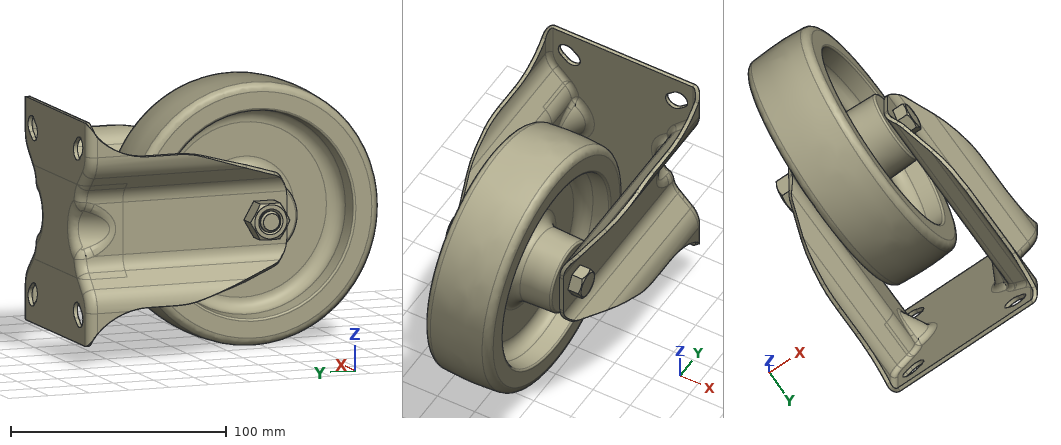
import cadquery as cq
import math


TOLERANCE = 0.01

SHEET = 2.0
PLATE_Y = 92.5
PLATE_HALF_Z = 52.5
FORK_HALF_X = 42.0
WAIST_HALF_X = 28.0
WAIST_HALF_Z = 12.3
WAIST_RADIUS = 10.0
FLANGE_RADIUS = 15.0
PLATE_BEND = 4.5
FLANK_ANGLE = math.radians(45)

LEG_END_Y = -11.5
LEG_END_HALF_Z = 10.4
LEG_CORNER_RADIUS = 11.0
LEG_TAPER = math.radians(18)
NECK_HALF_Z = 35.5
NECK_TAPER_RADIUS = 43.0
NECK_FLARE_RADIUS = 35.0
NECK_FLARE_Y = 62.8
TRIM_MARGIN = 1.0

DENT_RADIUS = 12.0
DENT_FOOT_Y = 75.0
DENT_SLOPE = math.radians(27.3)
DENT_BLEND = 6.0
DENT_REACH = 40.0
DENT_ZONE_Y = 70.0
DENT_ZONE_HALF_Z = 22.0
SLOT_X = 28.8
SLOT_Z = 39.1
SLOT_WIDTH = 9.0
SLOT_TRAVEL = 3.6
SLOT_TILT = 40.0

WHEEL_RADIUS = 62.5
WHEEL_HALF_X = 17.5
TREAD_EDGE_RADIUS = 61.5
TREAD_ROUND = 4.0
RIM_RADIUS = 47.5
RIM_DRAFT = 1.6
RIM_ROUND = 1.0
WEB_HALF_X = 2.5
RIM_FILLET = 7.0
HUB_RADIUS = 18.0
HUB_DRAFT = 0.8
HUB_HALF_X = 25.2
HUB_ROUND = 1.0
HUB_FILLET = 6.5

AXLE_RADIUS = 5.0
AXLE_END_X = 38.0
AXLE_CHAMFER = 1.0
NUT_FLATS = 17.0
NUT_HEIGHT = 9.2
NUT_MOUTH_RADIUS = 6.0
NUT_MOUTH_DEPTH = 1.0
HEAD_FLATS = 13.0
HEAD_HEIGHT = 6.3
HEX_FACE_SHARE = 0.94
HEX_CHAMFER_ANGLE = math.radians(30)


def fork_block(inset):
    """Solid bounded by the outer surface of the fork, moved inward by the inset."""
    sin_a = math.sin(FLANK_ANGLE)
    cos_a = math.cos(FLANK_ANGLE)
    sin_half = math.sin(FLANK_ANGLE / 2)
    cos_half = math.cos(FLANK_ANGLE / 2)
    plate_y = PLATE_Y - inset
    waist_x = WAIST_HALF_X - inset
    waist_radius = WAIST_RADIUS + inset
    flange_x = FORK_HALF_X - inset
    flange_radius = FLANGE_RADIUS - inset
    flank_start = (waist_x + waist_radius * (1 - cos_a), WAIST_HALF_Z + waist_radius * sin_a)
    flank_end_x = flange_x - flange_radius * (1 - cos_a)
    flank_end = (flank_end_x, flank_start[1] + (flank_end_x - flank_start[0]) / math.tan(FLANK_ANGLE))
    flange_start_z = flank_end[1] + flange_radius * sin_a
    waist_mid = (waist_x + waist_radius * (1 - cos_half), WAIST_HALF_Z + waist_radius * sin_half)
    flange_mid = (flange_x - flange_radius * (1 - cos_half), flange_start_z - flange_radius * sin_half)
    quarter = (
        cq.Workplane("XZ", origin=(0, plate_y, 0))
        .lineTo(waist_x, 0)
        .lineTo(waist_x, WAIST_HALF_Z)
        .threePointArc(waist_mid, flank_start)
        .lineTo(*flank_end)
        .threePointArc(flange_mid, (flange_x, flange_start_z))
        .lineTo(flange_x, PLATE_HALF_Z)
        .lineTo(0, PLATE_HALF_Z)
        .close()
        .extrude(plate_y - LEG_END_Y)
    )
    upper = quarter.union(quarter.mirror("YZ"))
    block = upper.union(upper.mirror("XY")).clean()
    return block.faces(">Y").edges("not(>Z or <Z)").fillet(PLATE_BEND - inset)


def dent_cutter(side, inset):
    """Slanted cylinder that hollows the corner between leg and plate."""
    run = cq.Vector(side * math.sin(DENT_SLOPE), -math.cos(DENT_SLOPE), 0)
    outward = cq.Vector(side * math.cos(DENT_SLOPE), math.sin(DENT_SLOPE), 0)
    foot = cq.Vector(side * WAIST_HALF_X, DENT_FOOT_Y, 0)
    start = foot + outward * DENT_RADIUS - run * DENT_REACH
    return cq.Workplane(cq.Solid.makeCylinder(DENT_RADIUS + inset, 2 * DENT_REACH, start, run))


def dented_block(inset):
    """Fork block with both dents and their rounded rims."""
    block = fork_block(inset)
    for side in (-1, 1):
        block = block.cut(dent_cutter(side, inset))
    rims = cq.selectors.BoxSelector(
        (-FORK_HALF_X, DENT_ZONE_Y, TOLERANCE - WAIST_HALF_Z),
        (FORK_HALF_X, PLATE_Y + TOLERANCE, WAIST_HALF_Z - TOLERANCE),
    )
    return block.edges(rims).edges("not %LINE").fillet(DENT_BLEND - inset)


def leg_outline():
    """Prism along X with the side outline that the fork is trimmed to."""
    sin_t = math.sin(LEG_TAPER)
    cos_t = math.cos(LEG_TAPER)
    corner_end = (
        LEG_END_Y + LEG_CORNER_RADIUS * (1 - sin_t),
        LEG_END_HALF_Z + LEG_CORNER_RADIUS * cos_t,
    )
    taper_end_z = NECK_HALF_Z - NECK_TAPER_RADIUS * (1 - cos_t)
    taper_end_y = corner_end[0] + (taper_end_z - corner_end[1]) / math.tan(LEG_TAPER)
    neck_start_y = taper_end_y + NECK_TAPER_RADIUS * sin_t
    bend_y = PLATE_Y - PLATE_BEND
    flare_run = bend_y - NECK_FLARE_Y
    flare_rise = NECK_FLARE_RADIUS - math.sqrt(NECK_FLARE_RADIUS**2 - flare_run**2)
    half = (
        cq.Workplane("YZ", origin=(-FORK_HALF_X - TRIM_MARGIN, 0, 0))
        .moveTo(PLATE_Y + TRIM_MARGIN, 0)
        .lineTo(LEG_END_Y, 0)
        .lineTo(LEG_END_Y, LEG_END_HALF_Z)
        .tangentArcPoint(corner_end, relative=False)
        .lineTo(taper_end_y, taper_end_z)
        .tangentArcPoint((neck_start_y, NECK_HALF_Z), relative=False)
        .lineTo(NECK_FLARE_Y, NECK_HALF_Z)
        .tangentArcPoint((bend_y, NECK_HALF_Z + flare_rise), relative=False)
        .lineTo(PLATE_Y, PLATE_HALF_Z)
        .lineTo(PLATE_Y + TRIM_MARGIN, PLATE_HALF_Z)
        .close()
        .extrude(2 * (FORK_HALF_X + TRIM_MARGIN))
    )
    return half.union(half.mirror("XY")).clean()


def is_sheet_skin(face):
    """True for the outer surface of the fork block, False for its three flat cut ends."""
    normal = face.normalAt()
    on_plate_end = abs(normal.z) > 1 - TOLERANCE
    on_leg_end = normal.y < TOLERANCE - 1
    return not on_plate_end and not on_leg_end


def slots():
    """Four mounting slots, mirrored about both centre lines of the plate."""
    layout = cq.Sketch()
    for x_side in (-1, 1):
        for z_side in (-1, 1):
            centre = cq.Location(
                cq.Vector(x_side * SLOT_X, z_side * SLOT_Z, 0),
                cq.Vector(0, 0, 1),
                x_side * z_side * SLOT_TILT,
            )
            layout = layout.push([centre]).slot(SLOT_TRAVEL, SLOT_WIDTH).reset()
    return cq.Workplane("XZ", origin=(0, PLATE_Y, 0)).placeSketch(layout).extrude(SHEET)


def fork():
    """The outer skin, trimmed to the leg outline and thickened inward square to itself.

    Around the dents the sheet is the difference of two dented blocks instead.
    """
    outline = leg_outline().val()
    sheets = []
    for skin in filter(is_sheet_skin, fork_block(0).faces().vals()):
        sheets += [patch.thicken(-SHEET) for patch in skin.intersect(outline).Faces()]
    body = cq.Workplane(sheets[0].fuse(*sheets[1:]))
    zone_centre = (0, (PLATE_Y + DENT_ZONE_Y) / 2, 0)
    zone = cq.Workplane(origin=zone_centre).box(
        2 * FORK_HALF_X, PLATE_Y - DENT_ZONE_Y, 2 * DENT_ZONE_HALF_Z
    )
    dented = dented_block(0).cut(dented_block(SHEET)).intersect(zone)
    return body.cut(zone).union(dented).cut(slots())


def wheel():
    """Tyre, recessed web and hub, turned about X."""
    side = [
        (HUB_HALF_X, 0),
        (HUB_HALF_X, -HUB_RADIUS),
        (WEB_HALF_X, -HUB_RADIUS - HUB_DRAFT),
        (WEB_HALF_X, -RIM_RADIUS),
        (WHEEL_HALF_X, -RIM_RADIUS - RIM_DRAFT),
        (WHEEL_HALF_X, -TREAD_EDGE_RADIUS),
    ]
    other_side = [(-x, y) for x, y in reversed(side)]
    body = (
        cq.Workplane("XY")
        .polyline(side)
        .threePointArc((0, -WHEEL_RADIUS), other_side[0])
        .polyline(other_side[1:], includeCurrent=True)
        .close()
        .revolve(360, (0, 0, 0), (1, 0, 0))
    )
    return round_wheel(body)


def circle_near(x, radius):
    """Test for the circular edges about X with this radius, at +x and -x."""

    def matches(edge):
        start = edge.startPoint()
        at_offset = abs(abs(start.x) - x) < TOLERANCE
        at_radius = abs(math.hypot(start.y, start.z) - radius) < TOLERANCE
        return at_offset and at_radius and edge.geomType() == "CIRCLE"

    return matches


def round_wheel(body):
    """Round the hub, web, recess and tread edges on both sides."""
    rounds = [
        (HUB_HALF_X, HUB_RADIUS, HUB_ROUND),
        (WEB_HALF_X, HUB_RADIUS + HUB_DRAFT, HUB_FILLET),
        (WEB_HALF_X, RIM_RADIUS, RIM_FILLET),
        (WHEEL_HALF_X, RIM_RADIUS + RIM_DRAFT, RIM_ROUND),
        (WHEEL_HALF_X, TREAD_EDGE_RADIUS, TREAD_ROUND),
    ]
    for x, radius, size in rounds:
        body = body.edges().filter(circle_near(x, radius)).fillet(size)
    return body


def hexagon(flats, height):
    """Hexagonal prism from x = 0 towards +X, corners at +Y and -Y, outer corners chamfered."""
    corner = flats / math.sqrt(3)
    bar = cq.Workplane("YZ").polygon(6, 2 * corner).extrude(height)
    face_radius = HEX_FACE_SHARE * flats / 2
    base_radius = face_radius + height / math.tan(HEX_CHAMFER_ANGLE)
    cone = cq.Solid.makeCone(base_radius, face_radius, height, cq.Vector(), cq.Vector(1, 0, 0))
    return bar.intersect(cq.Workplane(cone))


def axle():
    """Bolt through fork and hub: head on +X, nut and thread end on -X."""
    head = hexagon(HEAD_FLATS, HEAD_HEIGHT).translate((WAIST_HALF_X, 0, 0))
    mouth_start = cq.Vector(NUT_HEIGHT - NUT_MOUTH_DEPTH, 0, 0)
    mouth = cq.Solid.makeCone(
        AXLE_RADIUS, NUT_MOUTH_RADIUS, NUT_MOUTH_DEPTH, mouth_start, cq.Vector(1, 0, 0)
    )
    nut = hexagon(NUT_FLATS, NUT_HEIGHT).cut(cq.Workplane(mouth))
    nut = nut.mirror("YZ").translate((-WAIST_HALF_X, 0, 0))
    shank = (
        cq.Workplane("YZ", origin=(-AXLE_END_X, 0, 0))
        .circle(AXLE_RADIUS)
        .extrude(AXLE_END_X + WAIST_HALF_X)
        .faces("<X")
        .chamfer(AXLE_CHAMFER)
    )
    return shank.union(head).union(nut)


result = wheel().union(axle()).union(fork())